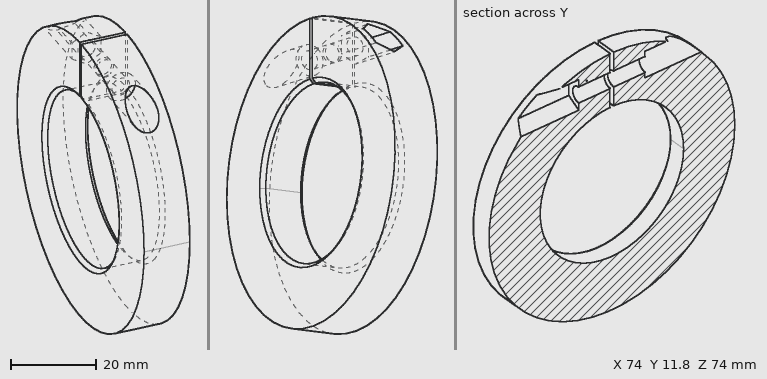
import cadquery as cq
import math

outer_diameter = 74.0
width = 11.8
bore_diameter = 42.9
bore_chamfer = 1.0
slit_width = 1.0

screw_height = 29.2
screw_hole_diameter = 4.5
head_diameter = 7.5
nut_across_flats = 7.5
seat_distance = 10.0

outer_radius = outer_diameter / 2
nut_across_corners = nut_across_flats / math.cos(math.pi / 6)


def screw_plane(x):
    """Plane across the screw axis, facing +X, with its local y along Z."""
    return cq.Workplane("YZ", origin=(x, 0, screw_height))


def make_ring():
    """Plain ring with both bore edges chamfered."""
    front = cq.Workplane("XZ", origin=(0, -width / 2, 0))
    ring = front.circle(outer_radius).circle(bore_diameter / 2).extrude(-width)
    bore_edges = cq.selectors.RadiusNthSelector(0)
    return ring.faces("<Y or >Y").edges(bore_edges).chamfer(bore_chamfer)


def make_slit():
    """Slot through the top of the ring only."""
    return cq.Workplane("XY").rect(slit_width, width).extrude(outer_radius)


def make_screw_cuts():
    """Clearance hole with a hexagonal nut pocket at -X and a round head pocket at +X."""
    hole = screw_plane(0).circle(screw_hole_diameter / 2).extrude(outer_radius, both=True)
    nut_pocket = (
        screw_plane(-seat_distance)
        .transformed(rotate=(0, 0, 90))
        .polygon(6, nut_across_corners)
        .extrude(-outer_radius)
    )
    head_pocket = screw_plane(seat_distance).circle(head_diameter / 2).extrude(outer_radius)
    return hole.union(nut_pocket).union(head_pocket)


result = make_ring().cut(make_slit()).cut(make_screw_cuts())